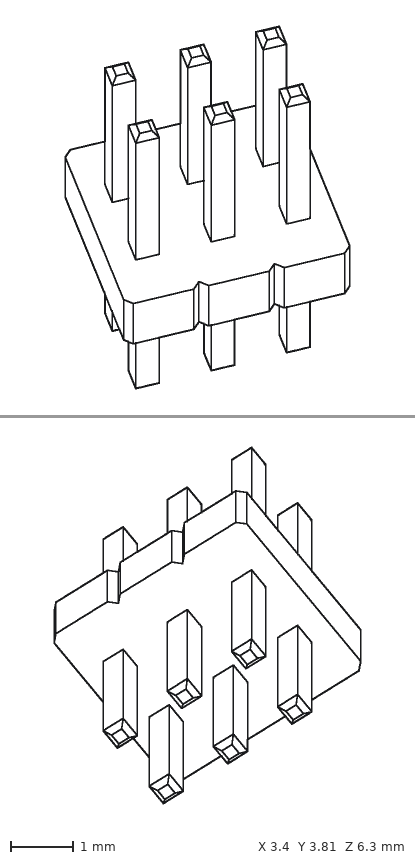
import cadquery as cq

total_height = 6.3
body_width = 3.4
body_length = 3.81
body_height = 1.0
pin_length_above = 3.0

columns = 2
rows = 3
pitch = body_length / rows
pin_width = 0.4

tip_height = 0.1
tip_width = 0.2

corner_cut = 0.125

pin_top = body_height + pin_length_above
pin_bottom = pin_top - total_height


def make_body():
    """Insulator block with chamfered corners and V notches between the rows."""
    body = None
    for row in range(rows):
        row_y = (row - (rows - 1) / 2) * pitch
        block = (
            cq.Workplane("XY")
            .center(0, row_y)
            .rect(body_width, pitch)
            .extrude(body_height)
            .edges("|Z")
            .chamfer(corner_cut)
        )
        body = block if body is None else body.union(block)
    return body.clean()


def make_tip(base_z, end_z):
    """Square taper from the full pin width at base_z to the tip width at end_z."""
    return (
        cq.Workplane("XY", origin=(0, 0, base_z))
        .rect(pin_width, pin_width)
        .workplane(offset=end_z - base_z)
        .rect(tip_width, tip_width)
        .loft(ruled=True)
    )


def make_pin():
    """Square pin on the Z axis, tapered at both ends."""
    shank_bottom = pin_bottom + tip_height
    shank_top = pin_top - tip_height
    shank = (
        cq.Workplane("XY", origin=(0, 0, shank_bottom))
        .rect(pin_width, pin_width)
        .extrude(shank_top - shank_bottom)
    )
    return shank.union(make_tip(shank_top, pin_top)).union(make_tip(shank_bottom, pin_bottom))


result = make_body()
pin = make_pin()
for column in range(columns):
    for row in range(rows):
        pin_x = (column - (columns - 1) / 2) * pitch
        pin_y = (row - (rows - 1) / 2) * pitch
        result = result.union(pin.translate((pin_x, pin_y, 0)))